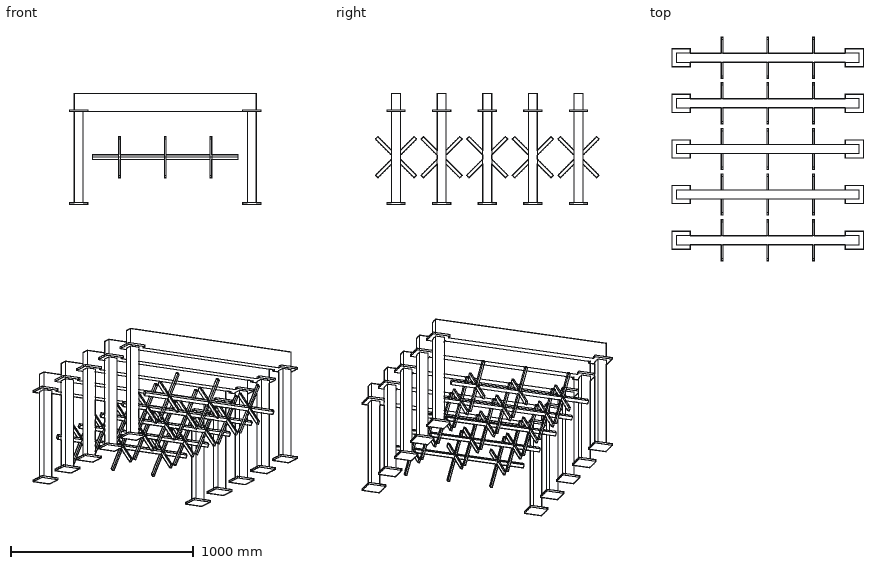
import cadquery as cq
import math

overall_depth = 1226.0
frame_count = 5

column_width = 50.0
column_height = 499.0
plate_width = 2 * column_width
plate_thickness = 10.0
beam_length = 1000.0
beam_width = column_width
beam_height = 2 * beam_width

column_top = plate_thickness + column_height
column_offset = (beam_length - column_width) / 2

rail_length = 800.0
rail_side = 20.0
bar_length = 300.0
bar_width = rail_side
bar_thickness = 10.0
cross_spacing = 250.0
tilt_angle = 45
rack_height = plate_thickness + column_height / 2

tilt = math.radians(tilt_angle)
cross_span = bar_length * math.cos(tilt) + bar_width * math.sin(tilt)
frame_pitch = (overall_depth - cross_span) / (frame_count - 1)


def block(length_x, length_y, length_z, x, z):
    """Box centred on (x, 0) with its underside at height z."""
    box = cq.Workplane("XY").box(length_x, length_y, length_z, centered=(True, True, False))
    return box.translate((x, 0, z))


def make_frame():
    """One portal frame standing on Z = 0, in the plane Y = 0."""
    frame = block(beam_length, beam_width, beam_height, 0, column_top)
    for x in (-column_offset, column_offset):
        frame = frame.union(block(column_width, column_width, column_height, x, plate_thickness))
        for plate_bottom in (0, column_top):
            frame = frame.union(block(plate_width, plate_width, plate_thickness, x, plate_bottom))
    return frame


def make_cross_rack():
    """One rail with three crosses, in the plane Y = 0, clear of the frame around it."""
    rack = cq.Workplane("XY").box(rail_length, rail_side, rail_side)
    for x in (-cross_spacing, 0, cross_spacing):
        lengthwise = cq.Workplane("XY").box(bar_thickness, bar_length, bar_width)
        crosswise = cq.Workplane("XY").box(bar_thickness, bar_width, bar_length)
        rack = rack.union(lengthwise.union(crosswise).translate((x, 0, 0)))
    rack = rack.rotate((0, 0, 0), (1, 0, 0), tilt_angle)
    return rack.translate((0, 0, rack_height))


frames = []
cross_racks = []
for index in range(frame_count):
    y = (index - (frame_count - 1) / 2) * frame_pitch
    frames.append(make_frame().translate((0, y, 0)))
    cross_racks.append(make_cross_rack().translate((0, y, 0)))

result = cq.Compound.makeCompound([body.solids().val() for body in frames + cross_racks])